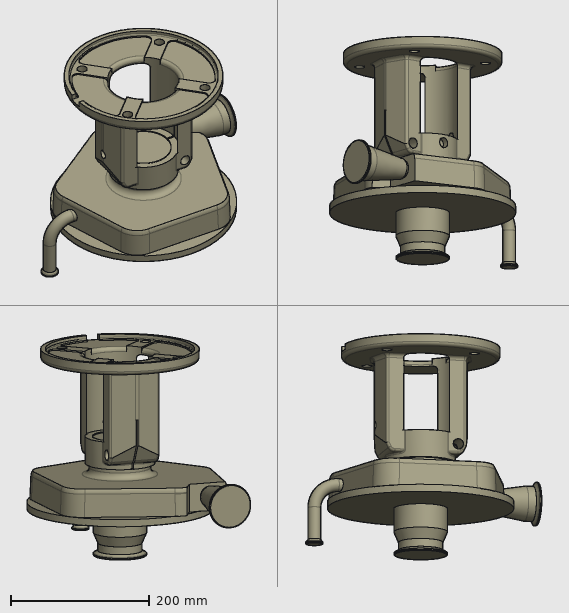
import cadquery as cq
import math


TOTAL_HEIGHT = 305.0
INLET_CONE_BOTTOM = 18.5
INLET_CONE_TOP = 34.0
BACK_PLATE_BOTTOM = 68.5
BACK_PLATE_THICKNESS = 10.5
CASING_BOTTOM = BACK_PLATE_BOTTOM + BACK_PLATE_THICKNESS
CASING_TOP = 120.0
COLLAR_BOTTOM = 136.0
COLLAR_TOP = 176.0
FLANGE_THICKNESS = 17.0
FLANGE_BOTTOM = TOTAL_HEIGHT - FLANGE_THICKNESS

INLET_RADIUS = 39.0
INLET_NECK_RADIUS = 32.3
BACK_PLATE_RADIUS = 135.0

RIM_BEVEL = 1.2
RIM_THICKNESS = 4.0
RIM_SLOPE = 3.0

CASING_APOTHEM = 115.0
CASING_SIDES = 5
CASING_CORNER_RADIUS = 35.0
LEFT_CORNER_RADIUS = 30.0
SHOULDER_RADIUS = 30.0
SHOULDER_X = -50.0
SHOULDER_RUN = 13.0
SHOULDER_DROP = 10.0
LEFT_SIDE_LEAN = 9.0
CASING_DRAFT = 2.0
CASING_EDGE_RADIUS = 11.4
CASING_EDGE_TRIM = 4.0
DISCHARGE_FACE_Y = 109.2
NOTCH_CORNER_X = -65.4
NOTCH_ANGLE = 61.0

DISCHARGE_X = -96.0
DISCHARGE_Z = 101.0
DISCHARGE_END_Y = 195.0
DISCHARGE_CONE_START_Y = 114.0
DISCHARGE_CONE_END_Y = 176.5
DISCHARGE_ROOT_RADIUS = 12.7
DISCHARGE_CONE_RADIUS = 15.4
DISCHARGE_RADIUS = 25.7
DISCHARGE_RIM_RADIUS = 32.0

DRAIN_RADIUS = 9.5
DRAIN_Y = -158.0
DRAIN_BEND_RADIUS = 35.0
DRAIN_BEND_BOTTOM = 63.0
DRAIN_BOTTOM = 9.3
DRAIN_STUB_LENGTH = 30.0
DRAIN_RIM_RADIUS = 12.7

NECK_RADIUS = 44.7
NECK_FLARE = 10.0
COLLAR_RADIUS = 50.5
SHAFT_SEAT_RADIUS = 40.0
SHAFT_SEAT_DEPTH = 1.5
COLLAR_HOLE_DIAMETER = 14.5
COLLAR_HOLE_Z = 164.0

LEG_WIDTH = 78.0
LEG_RIDGE_Y = 68.7
LEG_RIDGE_WIDTH = 5.4
LEG_SLOPE_ANGLE = 15.0
LEG_BOTTOM = 144.0
LEG_BEVEL_TOP = 174.0
LEG_BEVEL_ANGLE = 27.0
LEG_EDGE_RADIUS = 4.0
LEG_HEEL_RADIUS = 10.5
LEG_FLANGE_RADIUS = 6.0
LANTERN_BORE_RADIUS = 51.7
LEG_HOLE_DIAMETER = 12.3
LEG_HOLE_Z = 188.0
CLAMP_HOLE_DIAMETER = 15.0
CLAMP_HOLE_Y = 47.2
CLAMP_HOLE_Z = 159.0
CLAMP_SLIT_WIDTH = 2.5
CLAMP_SLIT_TOP = 212.0
COLLAR_BLEND = 2.0

FLANGE_RADIUS = 115.0
FLANGE_EDGE_RADIUS = 5.5
SPIGOT_RADIUS = 108.2
SPIGOT_FILLET = 1.6
PAD_TOP = 299.0
POCKET_FLOOR = 297.0
POCKET_RADIUS = 104.0
POCKET_CORNER_RADIUS = 9.0
RIB_WIDTH = 24.0
BORE_EDGE_RADIUS = 6.5
BOLT_OFFSET = 65.0
BOLT_HOLE_DIAMETER = 14.5
FLANGE_SLOT_WIDTH = 20.0
FLANGE_SLOT_LENGTH = 15.0


SELECTION_MARGIN = 1.0


def cylinder(radius, bottom, top):
    return cq.Workplane("XY").workplane(offset=bottom).circle(radius).extrude(top - bottom)


def ferrule_points(rim_radius, tube_radius):
    """Half section (radius, height) of a clamp ferrule whose face lies at height 0."""
    return [
        (0, 0),
        (rim_radius - RIM_BEVEL, 0),
        (rim_radius, RIM_BEVEL),
        (rim_radius, RIM_THICKNESS - RIM_BEVEL),
        (rim_radius - RIM_BEVEL, RIM_THICKNESS),
        (tube_radius, RIM_THICKNESS + RIM_SLOPE),
    ]


def revolve_section(points):
    return cq.Workplane("XZ").polyline(points).close().revolve(360, (0, 0, 0), (0, 1, 0))


def make_inlet():
    section = ferrule_points(INLET_RADIUS, INLET_NECK_RADIUS) + [
        (INLET_NECK_RADIUS, INLET_CONE_BOTTOM),
        (INLET_RADIUS, INLET_CONE_TOP),
        (INLET_RADIUS, CASING_BOTTOM),
        (0, CASING_BOTTOM),
    ]
    plate = cylinder(BACK_PLATE_RADIUS, BACK_PLATE_BOTTOM, CASING_BOTTOM)
    return revolve_section(section).union(plate)


def make_casing():
    side_angle = 360 / CASING_SIDES
    corner_distance = CASING_APOTHEM / math.cos(math.radians(side_angle / 2))

    def pentagon_corner(angle):
        turn = math.radians(angle)
        return (corner_distance * math.cos(turn), corner_distance * math.sin(turn))

    def left_side_x(y):
        return y * math.tan(math.radians(LEFT_SIDE_LEAN)) - corner_distance

    side_normal = math.radians(side_angle)
    shoulder_y = (CASING_APOTHEM - SHOULDER_X * math.cos(side_normal)) / math.sin(side_normal)
    shoulder = (SHOULDER_X, shoulder_y)
    shoulder_end = (SHOULDER_X - SHOULDER_RUN, shoulder_y - SHOULDER_DROP)
    upper_left = (left_side_x(shoulder_end[1]), shoulder_end[1])
    left_corner = pentagon_corner(180)
    pentagon_corners = [pentagon_corner(180 + step * side_angle) for step in (1, 2, 3)]
    outline = [left_corner] + pentagon_corners + [shoulder, shoulder_end, upper_left]

    height = CASING_TOP + CASING_EDGE_TRIM - CASING_BOTTOM
    casing = (
        cq.Workplane("XY")
        .workplane(offset=CASING_BOTTOM)
        .polyline(outline)
        .close()
        .extrude(height, taper=CASING_DRAFT)
    )
    rounded_corners = [(corner, CASING_CORNER_RADIUS) for corner in pentagon_corners]
    rounded_corners += [(left_corner, LEFT_CORNER_RADIUS), (shoulder, SHOULDER_RADIUS)]
    for (x, y), radius in rounded_corners:
        upright = cq.selectors.NearestToPointSelector((x, y, CASING_BOTTOM + height / 2))
        casing = casing.edges(upright).fillet(radius)

    casing = casing.faces(">Z").edges().fillet(CASING_EDGE_RADIUS)
    beyond = 2 * corner_distance
    trim = cq.Workplane("XY").workplane(offset=CASING_TOP).rect(beyond, beyond).extrude(height)
    casing = casing.cut(trim)

    rise = corner_distance - DISCHARGE_FACE_Y
    notch_top_x = NOTCH_CORNER_X + rise / math.tan(math.radians(NOTCH_ANGLE))
    notch = (
        cq.Workplane("XY")
        .workplane(offset=CASING_BOTTOM)
        .moveTo(NOTCH_CORNER_X, DISCHARGE_FACE_Y)
        .lineTo(notch_top_x, corner_distance)
        .lineTo(-beyond, corner_distance)
        .lineTo(-beyond, DISCHARGE_FACE_Y)
        .close()
        .extrude(height)
    )
    return casing.cut(notch)


def make_discharge():
    length = DISCHARGE_END_Y - DISCHARGE_FACE_Y
    section = ferrule_points(DISCHARGE_RIM_RADIUS, DISCHARGE_RADIUS) + [
        (DISCHARGE_RADIUS, DISCHARGE_END_Y - DISCHARGE_CONE_END_Y),
        (DISCHARGE_CONE_RADIUS, DISCHARGE_END_Y - DISCHARGE_CONE_START_Y),
        (DISCHARGE_ROOT_RADIUS, length),
        (0, length),
    ]
    tube = revolve_section(section).rotate((0, 0, 0), (1, 0, 0), 90)
    return tube.translate((DISCHARGE_X, DISCHARGE_END_Y, DISCHARGE_Z))


def make_drain():
    length = DRAIN_BEND_BOTTOM - DRAIN_BOTTOM
    section = ferrule_points(DRAIN_RIM_RADIUS, DRAIN_RADIUS) + [(DRAIN_RADIUS, length), (0, length)]
    upright = revolve_section(section).translate((0, DRAIN_Y, DRAIN_BOTTOM))

    bend_end_y = DRAIN_Y + DRAIN_BEND_RADIUS
    bend = (
        cq.Workplane("XY")
        .workplane(offset=DRAIN_BEND_BOTTOM)
        .center(0, DRAIN_Y)
        .circle(DRAIN_RADIUS)
        .revolve(90, (1, DRAIN_BEND_RADIUS, 0), (-1, DRAIN_BEND_RADIUS, 0))
    )
    stub = (
        cq.Workplane("XZ", origin=(0, bend_end_y, DRAIN_BEND_BOTTOM + DRAIN_BEND_RADIUS))
        .circle(DRAIN_RADIUS)
        .extrude(-DRAIN_STUB_LENGTH)
    )
    return upright.union(bend).union(stub)


def make_collar():
    neck = (
        cq.Workplane("XZ")
        .moveTo(0, CASING_TOP)
        .lineTo(NECK_RADIUS + NECK_FLARE, CASING_TOP)
        .radiusArc((NECK_RADIUS, CASING_TOP + NECK_FLARE), NECK_FLARE)
        .lineTo(NECK_RADIUS, COLLAR_BOTTOM)
        .lineTo(0, COLLAR_BOTTOM)
        .close()
        .revolve(360, (0, 0, 0), (0, 1, 0))
    )
    return neck.union(cylinder(COLLAR_RADIUS, COLLAR_BOTTOM, COLLAR_TOP))


def make_leg():
    """Leg on the +Y side: ridged outside, bevelled at the foot."""
    half_width = LEG_WIDTH / 2
    half_ridge = LEG_RIDGE_WIDTH / 2
    edge_y = LEG_RIDGE_Y - (half_width - half_ridge) * math.tan(math.radians(LEG_SLOPE_ANGLE))
    leg = (
        cq.Workplane("XY")
        .workplane(offset=LEG_BOTTOM)
        .polyline([
            (-half_width, 0),
            (half_width, 0),
            (half_width, edge_y),
            (half_ridge, LEG_RIDGE_Y),
            (-half_ridge, LEG_RIDGE_Y),
            (-half_width, edge_y),
        ])
        .close()
        .extrude(FLANGE_BOTTOM - LEG_BOTTOM)
    )
    bevel_height = LEG_BEVEL_TOP - LEG_BOTTOM
    bevel_depth = bevel_height * math.tan(math.radians(LEG_BEVEL_ANGLE))
    bevel = (
        cq.Workplane("YZ")
        .moveTo(LEG_RIDGE_Y, LEG_BEVEL_TOP)
        .lineTo(LEG_RIDGE_Y - bevel_depth, LEG_BOTTOM)
        .lineTo(LEG_RIDGE_Y, LEG_BOTTOM)
        .close()
        .extrude(half_width, both=True)
    )
    leg = leg.cut(bevel)
    leg = leg.edges("<Z").edges(">Y").fillet(LEG_HEEL_RADIUS)
    outer_edges = leg.faces("<X or >X").edges("(not <Y) and (not >Z)")
    return outer_edges.fillet(LEG_EDGE_RADIUS)


def make_flange_pocket():
    """Sector on the +X side between two ribs, rounded at its outer corners."""
    apex_x = RIB_WIDTH / math.sqrt(2)
    reach = POCKET_RADIUS
    wedge = (
        cq.Workplane("XY")
        .workplane(offset=POCKET_FLOOR)
        .polyline([(apex_x, 0), (apex_x + reach, -reach), (apex_x + reach, reach)])
        .close()
        .extrude(PAD_TOP - POCKET_FLOOR)
    )
    sector = wedge.intersect(cylinder(POCKET_RADIUS, POCKET_FLOOR, PAD_TOP))
    return sector.edges("|Z").edges("not <X").fillet(POCKET_CORNER_RADIUS)


def make_spigot_lip():
    """Raised outer lip of the flange, with a small fillet at the foot of its inner wall."""
    return (
        cq.Workplane("XZ")
        .moveTo(SPIGOT_RADIUS - SPIGOT_FILLET, PAD_TOP)
        .lineTo(FLANGE_RADIUS, PAD_TOP)
        .lineTo(FLANGE_RADIUS, TOTAL_HEIGHT)
        .lineTo(SPIGOT_RADIUS, TOTAL_HEIGHT)
        .lineTo(SPIGOT_RADIUS, PAD_TOP + SPIGOT_FILLET)
        .radiusArc((SPIGOT_RADIUS - SPIGOT_FILLET, PAD_TOP), SPIGOT_FILLET)
        .close()
        .revolve(360, (0, 0, 0), (0, 1, 0))
    )


def make_lantern():
    """Motor flange with its two legs, before the holes and the slot."""
    front_leg = make_leg().rotate((0, 0, 0), (0, 0, 1), 180)
    plate = cylinder(FLANGE_RADIUS, FLANGE_BOTTOM, POCKET_FLOOR)
    plate = plate.faces("<Z").edges().fillet(FLANGE_EDGE_RADIUS)
    lantern = make_leg().union(front_leg).union(plate)
    leg_roots = cq.selectors.BoxSelector(
        (-FLANGE_RADIUS / 2, -LEG_RIDGE_Y - SELECTION_MARGIN, FLANGE_BOTTOM - SELECTION_MARGIN),
        (FLANGE_RADIUS / 2, LEG_RIDGE_Y + SELECTION_MARGIN, FLANGE_BOTTOM + SELECTION_MARGIN),
    )
    lantern = lantern.edges(leg_roots).fillet(LEG_FLANGE_RADIUS)

    lantern = lantern.cut(cylinder(LANTERN_BORE_RADIUS, COLLAR_TOP, POCKET_FLOOR))
    bore_rim = lantern.faces(">Z").edges(cq.selectors.RadiusNthSelector(0))
    lantern = bore_rim.fillet(BORE_EDGE_RADIUS)

    pads = cylinder(FLANGE_RADIUS, POCKET_FLOOR, PAD_TOP)
    for quarter in range(4):
        pads = pads.cut(make_flange_pocket().rotate((0, 0, 0), (0, 0, 1), 90 * quarter))

    rib_end_radius = LANTERN_BORE_RADIUS + BORE_EDGE_RADIUS
    rib_end_bottom = POCKET_FLOOR - BORE_EDGE_RADIUS
    rib_ends = cq.Workplane("XY")
    for angle in (45, 135):
        rib = (
            cq.Workplane("XY")
            .workplane(offset=rib_end_bottom)
            .rect(2 * rib_end_radius, RIB_WIDTH)
            .extrude(PAD_TOP - rib_end_bottom)
        )
        rib_ends = rib_ends.union(rib.rotate((0, 0, 0), (0, 0, 1), angle))
    rib_ends = rib_ends.intersect(cylinder(rib_end_radius, rib_end_bottom, PAD_TOP))
    bore = cylinder(LANTERN_BORE_RADIUS, rib_end_bottom, PAD_TOP)
    pads = pads.union(rib_ends).cut(bore)
    return lantern.union(pads).union(make_spigot_lip())


def make_flange_slot():
    """Slot through the seat ring and lip, level with the pocket floor."""
    depth = TOTAL_HEIGHT - POCKET_FLOOR
    slot = cq.Workplane("XY").box(
        FLANGE_SLOT_WIDTH, FLANGE_SLOT_LENGTH, depth, centered=(True, False, False)
    )
    return slot.translate((0, -FLANGE_RADIUS, POCKET_FLOOR))


def make_bolt_holes():
    offsets = [(x, y) for x in (-BOLT_OFFSET, BOLT_OFFSET) for y in (-BOLT_OFFSET, BOLT_OFFSET)]
    return (
        cq.Workplane("XY")
        .workplane(offset=FLANGE_BOTTOM)
        .pushPoints(offsets)
        .circle(BOLT_HOLE_DIAMETER / 2)
        .extrude(FLANGE_THICKNESS)
    )


def make_leg_hole():
    """Hole along Y through the front leg only."""
    return (
        cq.Workplane("XZ", origin=(0, 0, LEG_HOLE_Z))
        .circle(LEG_HOLE_DIAMETER / 2)
        .extrude(LEG_RIDGE_Y)
    )


def make_clamp_cuts():
    """Slit and cross hole that let the back of the collar clamp the shaft, and the shaft seat."""
    slit = cq.Workplane("XY").box(
        CLAMP_SLIT_WIDTH,
        LEG_RIDGE_Y - SHAFT_SEAT_RADIUS,
        CLAMP_SLIT_TOP - COLLAR_BOTTOM,
        centered=(True, False, False),
    )
    slit = slit.translate((0, SHAFT_SEAT_RADIUS, COLLAR_BOTTOM))
    cross_hole = (
        cq.Workplane("YZ", origin=(0, CLAMP_HOLE_Y, CLAMP_HOLE_Z))
        .circle(CLAMP_HOLE_DIAMETER / 2)
        .extrude(LEG_WIDTH, both=True)
    )
    collar_hole = (
        cq.Workplane("YZ", origin=(-SHAFT_SEAT_RADIUS, 0, COLLAR_HOLE_Z))
        .circle(COLLAR_HOLE_DIAMETER / 2)
        .extrude(-LEG_WIDTH / 2)
    )
    shaft_seat = cylinder(SHAFT_SEAT_RADIUS, COLLAR_TOP - SHAFT_SEAT_DEPTH, COLLAR_TOP)
    return slit.union(cross_hole).union(collar_hole).union(shaft_seat)


def make_frame():
    """Lantern and collar, blended where the legs run into the collar."""
    frame = make_lantern().union(make_collar())
    leg_roots = cq.selectors.BoxSelector(
        (-COLLAR_RADIUS, -COLLAR_RADIUS, LEG_BOTTOM - SELECTION_MARGIN),
        (COLLAR_RADIUS, COLLAR_RADIUS, COLLAR_TOP - SELECTION_MARGIN),
    )
    frame = frame.edges(leg_roots).edges("not %CIRCLE").fillet(COLLAR_BLEND)
    for cutter in (make_flange_slot(), make_bolt_holes(), make_leg_hole(), make_clamp_cuts()):
        frame = frame.cut(cutter)
    return frame


result = (
    make_frame()
    .union(make_casing())
    .union(make_inlet())
    .union(make_discharge())
    .union(make_drain())
)